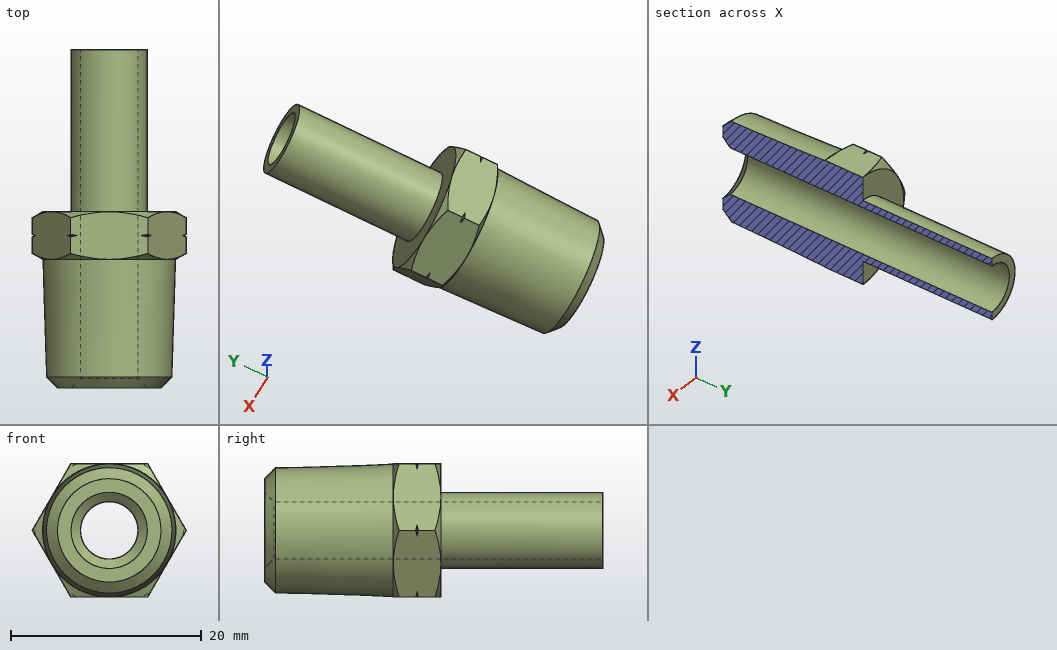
import cadquery as cq
import math


thread_length = 13.5
hex_length = 5.0
tube_length = 17.0

bore_diameter = 6.0
mouth_diameter = 8.0
mouth_angle = 45.0

tube_diameter = 8.0

hex_sides = 6
across_flats = 14.0
hex_chamfer_angle = 30.0
groove_depth = 0.31
groove_width = 0.28

thread_start_diameter = 13.157
thread_taper = 1 / 16
tip_chamfer = 1.15

bore_radius = bore_diameter / 2
mouth_radius = mouth_diameter / 2
mouth_depth = (mouth_radius - bore_radius) / math.tan(math.radians(mouth_angle))
inscribed_radius = across_flats / 2
corner_radius = inscribed_radius / math.cos(math.pi / hex_sides)
hex_chamfer_drop = (corner_radius - inscribed_radius) * math.tan(math.radians(hex_chamfer_angle))
thread_start_radius = thread_start_diameter / 2
thread_root_radius = thread_start_radius + (thread_length - tip_chamfer) * thread_taper / 2

hex_start = thread_length
hex_end = hex_start + hex_length
hex_middle = (hex_start + hex_end) / 2
tube_end = hex_end + tube_length


def turned(profile):
    """Revolve a closed outline of (radius, y) points about the Y axis."""
    return cq.Workplane("XY").polyline(profile).close().revolve(360, (0, 0, 0), (0, 1, 0))


def make_thread():
    """Tapered end with a chamfered tip."""
    return turned([
        (0, 0),
        (thread_start_radius - tip_chamfer, 0),
        (thread_start_radius, tip_chamfer),
        (thread_root_radius, thread_length),
        (0, thread_length),
    ])


def make_hexagon():
    """Hexagon with conically chamfered ends and a fine V groove nicking its corners."""
    prism = (
        cq.Workplane("XZ", origin=(0, hex_start, 0))
        .polygon(hex_sides, 2 * corner_radius)
        .extrude(-hex_length)
    )
    envelope = turned([
        (0, hex_start),
        (inscribed_radius, hex_start),
        (corner_radius, hex_start + hex_chamfer_drop),
        (corner_radius, hex_middle - groove_width / 2),
        (corner_radius - groove_depth, hex_middle),
        (corner_radius, hex_middle + groove_width / 2),
        (corner_radius, hex_end - hex_chamfer_drop),
        (inscribed_radius, hex_end),
        (0, hex_end),
    ])
    return prism.intersect(envelope)


def make_tube():
    """Plain cylindrical stub behind the hexagon."""
    return cq.Workplane("XZ", origin=(0, hex_end, 0)).circle(tube_diameter / 2).extrude(-tube_length)


def make_bore():
    """Through bore that widens into the conical mouth."""
    return turned([
        (0, 0),
        (mouth_radius, 0),
        (bore_radius, mouth_depth),
        (bore_radius, tube_end),
        (0, tube_end),
    ])


result = make_thread().union(make_hexagon()).union(make_tube()).cut(make_bore())